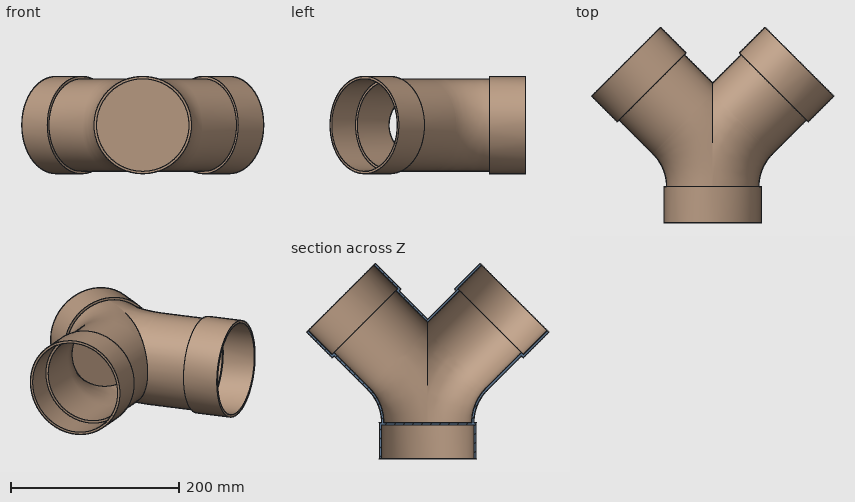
import cadquery as cq
import math


pipe_diameter = 110.0
wall = 3.0
bore_diameter = pipe_diameter - 2 * wall

socket_diameter = pipe_diameter + 2 * wall
socket_depth = 40.0
socket_length = socket_depth + wall

elbow_angle = 45.0
bend_radius = pipe_diameter
arm_length = 100.0
straight_length = arm_length - socket_length

elbow_start = socket_length
angle = math.radians(elbow_angle)
arm_direction = cq.Vector(math.sin(angle), math.cos(angle), 0)
elbow_end = cq.Vector(
    bend_radius * (1 - math.cos(angle)),
    elbow_start + bend_radius * math.sin(angle),
    0,
)
arm_end = elbow_end + arm_direction * straight_length
inlet_direction = cq.Vector(0, -1, 0)
inlet_end = cq.Vector(0, elbow_start, 0)
trim_size = 4 * (bend_radius + arm_length)


def rod(start, direction, diameter, length):
    """Solid cylinder from a start point along a direction."""
    return cq.Workplane(cq.Solid.makeCylinder(diameter / 2, length, start, direction))


def bent_rod(diameter):
    """Solid elbow followed by its straight run, on the +X side."""
    elbow = (
        cq.Workplane("XZ", origin=(0, elbow_start, 0))
        .circle(diameter / 2)
        .revolve(elbow_angle, (bend_radius, 1, 0), (bend_radius, -1, 0))
    )
    return elbow.union(rod(elbow_end, arm_direction, diameter, straight_length))


def half_body(diameter):
    """Bent rod trimmed at the X = 0 plane, where the two branches meet."""
    positive_x = cq.Workplane("XY").box(trim_size, trim_size, trim_size, centered=(False, True, True))
    return bent_rod(diameter).intersect(positive_x)


def socket(pipe_end, direction):
    """Collar that starts at a pipe end, bored from its mouth down to its floor."""
    collar = rod(pipe_end, direction, socket_diameter, socket_length)
    bore = rod(pipe_end + direction * wall, direction, pipe_diameter, socket_depth)
    return collar.cut(bore)


branch = half_body(pipe_diameter).union(socket(arm_end, arm_direction))
branch = branch.cut(half_body(bore_diameter))
branch = branch.cut(rod(arm_end, arm_direction, bore_diameter, wall))

result = branch.union(branch.mirror("YZ"))
result = result.union(socket(inlet_end, inlet_direction))